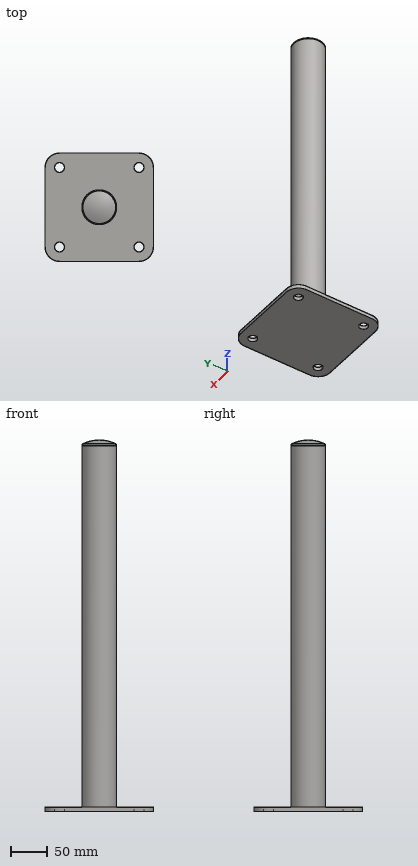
import cadquery as cq

total_height = 514.5

plate_side = 150.0
plate_thickness = 6.0
corner_radius = 20.0
hole_spacing = 110.0
hole_diameter = 13.5

post_diameter = 48.5
cap_height = 8.0
cap_rim_height = 1.5
cap_shoulder = 1.5

post_radius = post_diameter / 2
post_top = total_height - cap_height


def make_base_plate():
    """Square plate with rounded corners and four bolt holes, resting on Z = 0."""
    return (
        cq.Workplane("XY")
        .rect(plate_side, plate_side)
        .extrude(plate_thickness)
        .edges("|Z")
        .fillet(corner_radius)
        .faces(">Z")
        .workplane()
        .rect(hole_spacing, hole_spacing, forConstruction=True)
        .vertices()
        .hole(hole_diameter)
    )


def make_post():
    """Round post standing on the plate."""
    return (
        cq.Workplane("XY")
        .workplane(offset=plate_thickness)
        .circle(post_radius)
        .extrude(post_top - plate_thickness)
    )


def make_end_cap():
    """Cap with a cylindrical rim, a beveled shoulder and a spherical dome."""
    rim_top = post_top + cap_rim_height
    dome_base = rim_top + cap_shoulder
    dome_edge_radius = post_radius - cap_shoulder
    dome_rise = total_height - dome_base
    sphere_radius = (dome_edge_radius**2 + dome_rise**2) / (2 * dome_rise)

    mid_radius = dome_edge_radius / 2
    mid_height = total_height - sphere_radius + (sphere_radius**2 - mid_radius**2) ** 0.5

    return (
        cq.Workplane("XZ")
        .moveTo(0, post_top)
        .lineTo(post_radius, post_top)
        .lineTo(post_radius, rim_top)
        .lineTo(dome_edge_radius, dome_base)
        .threePointArc((mid_radius, mid_height), (0, total_height))
        .close()
        .revolve(360, (0, 0, 0), (0, 1, 0))
    )


base_plate = make_base_plate()
post = make_post()
end_cap = make_end_cap()

result = cq.Compound.makeCompound([base_plate.val(), post.val(), end_cap.val()])